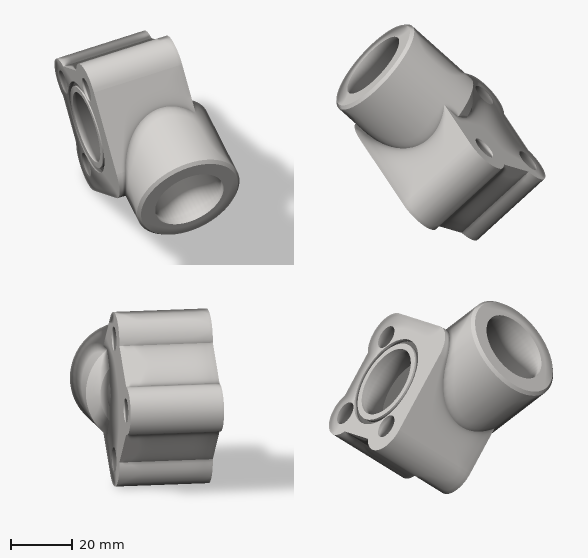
import cadquery as cq
import math

DIAGONAL = math.sqrt(0.5)

block_depth = 31.0
right_flat_distance = 23.0
left_flat_distance = 20.0
corner_radius = 9.0
corner_center = (right_flat_distance - corner_radius) / DIAGONAL
left_lobe_radius = 8.0
bolt_distance = 20.0
bolt_hole_radius = 4.0

bore_radius = 12.0
bore_depth = 9.2
groove_inner_radius = 14.0
groove_outer_radius = 15.6
groove_depth = 1.5

pipe_radius = 18.0
pipe_axis_y = 20.0
pipe_start_x = 8.0
pipe_end_x = 40.0
pipe_start_chamfer = 4.0
pipe_end_chamfer = 1.0

port_bore_radius = 12.0
port_floor_gap = 0.02
port_floor_x = bore_radius + port_floor_gap

dome_radius = 11.85
dome_center_x = 10.0


def disc_from_front(x, z, radius, depth):
    """Cylinder along +Y starting on the front face."""
    return cq.Workplane("XZ", origin=(x, 0, z)).circle(radius).extrude(-depth)


def cylinder_along_x(start_x, end_x, radius):
    """Cylinder on the pipe axis."""
    plane = cq.Workplane("YZ", origin=(start_x, pipe_axis_y, 0))
    return plane.circle(radius).extrude(end_x - start_x)


def left_flat_crossing(center_distance, radius):
    """Distances, along and square to a lobe's own arm, from the block axis to where
    a -X flat meets the lobe, on an arm at 45 degrees to the flat's normal."""
    to_flat = left_flat_distance - center_distance * DIAGONAL
    half_chord = math.sqrt(radius**2 - to_flat**2)
    along_arm = center_distance + (to_flat - half_chord) * DIAGONAL
    across_arm = (to_flat + half_chord) * DIAGONAL
    return along_arm, across_arm


def make_block():
    reach = corner_center + corner_radius
    tangent_near = corner_radius * DIAGONAL
    tangent_far = corner_center + tangent_near
    corner_end_z, corner_end_x = left_flat_crossing(corner_center, corner_radius)
    lobe_end_x, lobe_end_z = left_flat_crossing(bolt_distance, left_lobe_radius)
    outline = (
        cq.Workplane("XZ")
        .moveTo(tangent_far, tangent_near)
        .lineTo(tangent_near, tangent_far)
        .threePointArc((0, reach), (-corner_end_x, corner_end_z))
        .lineTo(-lobe_end_x, lobe_end_z)
        .threePointArc((-bolt_distance - left_lobe_radius, 0), (-lobe_end_x, -lobe_end_z))
        .lineTo(-corner_end_x, -corner_end_z)
        .threePointArc((0, -reach), (tangent_near, -tangent_far))
        .lineTo(tangent_far, -tangent_near)
        .threePointArc((reach, 0), (tangent_far, tangent_near))
        .close()
    )
    return outline.extrude(-block_depth)


def make_pipe():
    pipe = cylinder_along_x(pipe_start_x, pipe_end_x, pipe_radius)
    pipe = pipe.faces("<X").chamfer(pipe_start_chamfer)
    return pipe.faces(">X").chamfer(pipe_end_chamfer)


def make_dome():
    return cq.Workplane("XY", origin=(dome_center_x, pipe_axis_y, 0)).sphere(dome_radius)


def make_seal_groove():
    outer = disc_from_front(0, 0, groove_outer_radius, groove_depth)
    return outer.cut(disc_from_front(0, 0, groove_inner_radius, groove_depth))


result = make_block().union(make_pipe()).union(make_dome())
result = result.cut(disc_from_front(0, 0, bore_radius, bore_depth))
result = result.cut(make_seal_groove())
result = result.cut(cylinder_along_x(port_floor_x, pipe_end_x, port_bore_radius))

for hole_x, hole_z in [(-bolt_distance, 0), (0, bolt_distance), (0, -bolt_distance)]:
    result = result.cut(disc_from_front(hole_x, hole_z, bolt_hole_radius, block_depth))